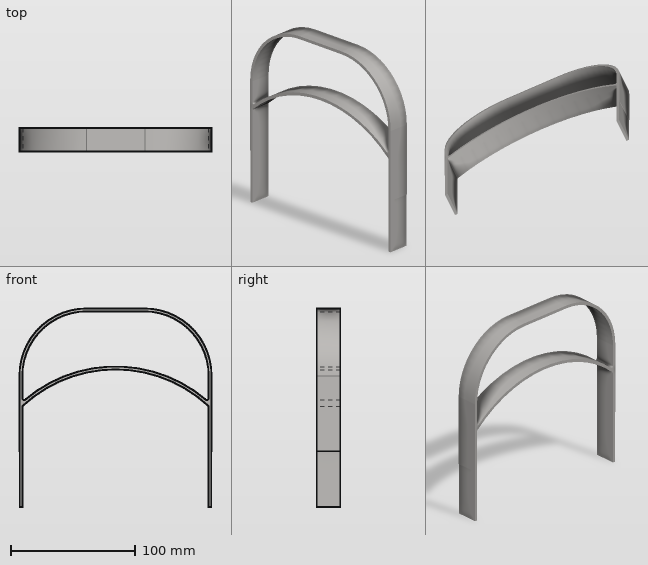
import cadquery as cq
import math

width = 155.0
depth = 19.0
height = 160.0

band_thickness = 2.5
corner_radius = 54.1

relief_depth = 0.3
relief_height = 44.8

arch_outer_radius = 112.4
arch_crown_height = 113.3
junction_fillet = 1.3

inner_width = width - 2 * band_thickness
arch_center_z = arch_crown_height - arch_outer_radius


def standing_block(block_width, block_height):
    """Block of the full depth, centred on X and Y and standing on Z = 0."""
    return cq.Workplane("XY").box(block_width, depth, block_height, centered=(True, True, False))


def rounded_block(block_width, block_height, radius):
    """Standing block with both upper corners rounded."""
    return standing_block(block_width, block_height).edges("|Y and >Z").fillet(radius)


def make_hoop():
    outside = rounded_block(width, height, corner_radius)
    inside = rounded_block(inner_width, height - band_thickness, corner_radius - band_thickness)
    return outside.cut(inside)


def make_arch():
    """Circular band whose ends stop halfway through the thickness of the legs."""
    ring = (
        cq.Workplane("XZ", origin=(0, 0, arch_center_z))
        .circle(arch_outer_radius)
        .circle(arch_outer_radius - band_thickness)
        .extrude(depth / 2, both=True)
    )
    return ring.intersect(standing_block(inner_width + band_thickness, height))


def fillet_upper_junctions(body):
    """Round the sharp corners where the top of the arch meets the legs."""
    junction_x = inner_width / 2
    junction_z = arch_center_z + math.sqrt(arch_outer_radius**2 - junction_x**2)
    for side in (-1, 1):
        corner = cq.selectors.NearestToPointSelector((side * junction_x, 0, junction_z))
        body = body.edges("|Y").edges(corner).fillet(junction_fillet)
    return body


def relieve_legs(body):
    """Shave the outer faces of the lower ends of both legs."""
    relief = standing_block(2 * relief_depth, relief_height)
    for side in (-1, 1):
        body = body.cut(relief.translate((side * width / 2, 0, 0)))
    return body


frame = make_hoop().union(make_arch())
result = relieve_legs(fillet_upper_junctions(frame))